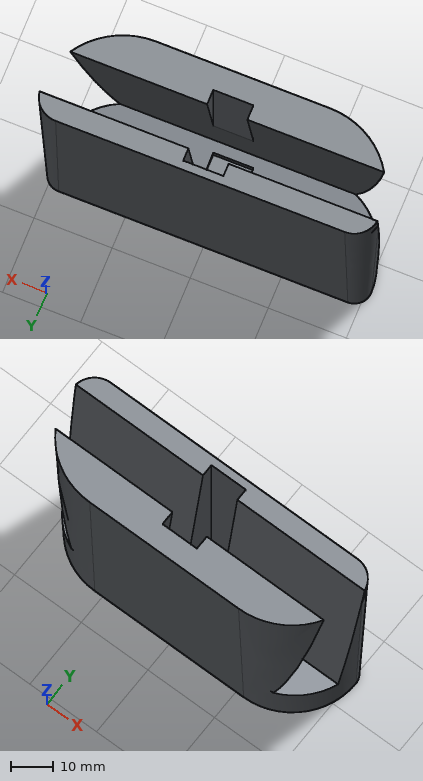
import cadquery as cq
import math

top_length = 86.6
depth = 27.4
height = 60.0
base_inset = 2.0
back_radius = 6.3
front_radius = depth - back_radius
taper = math.degrees(math.atan(base_inset / height))

slot_width = 11.8
slot_lean = 8.0
slot_length = 50.0
slot_back_y = 0.9

pocket_length = 10.3
pocket_back_y = 4.2
pocket_depth_y = 19.05
pocket_floor_z = 10.0

back_arc_loss = back_radius - math.sqrt(back_radius**2 - slot_back_y**2)
length = top_length + 2 * back_arc_loss


def make_body():
    """Outline with y = 0 at its widest line, where the front and back arcs meet."""
    half = length / 2
    back_flat = half - back_radius
    front_flat = half - front_radius
    diagonal = math.sqrt(0.5)
    back_mid_x = back_flat + back_radius * diagonal
    back_mid_y = back_radius * diagonal
    front_mid_x = front_flat + front_radius * diagonal
    front_mid_y = -front_radius * diagonal
    return (
        cq.Workplane("XY", origin=(0, 0, height))
        .moveTo(-front_flat, -front_radius)
        .lineTo(front_flat, -front_radius)
        .threePointArc((front_mid_x, front_mid_y), (half, 0))
        .threePointArc((back_mid_x, back_mid_y), (back_flat, back_radius))
        .lineTo(-back_flat, back_radius)
        .threePointArc((-back_mid_x, back_mid_y), (-half, 0))
        .threePointArc((-front_mid_x, front_mid_y), (-front_flat, -front_radius))
        .close()
        .extrude(-height, taper=taper)
    )


def make_slot():
    """Box hinged about the top edge of the slot's back wall."""
    box_height = 2 * slot_length
    box = (
        cq.Workplane("XY")
        .box(2 * length, slot_width, box_height)
        .translate((0, slot_back_y - slot_width / 2, height))
    )
    return box.rotate((0, slot_back_y, height), (1, slot_back_y, height), -slot_lean)


def make_pocket():
    center_y = pocket_back_y - pocket_depth_y / 2
    return (
        cq.Workplane("XY", origin=(0, center_y, pocket_floor_z))
        .rect(pocket_length, pocket_depth_y)
        .extrude(height - pocket_floor_z)
    )


result = make_body().cut(make_slot()).cut(make_pocket())